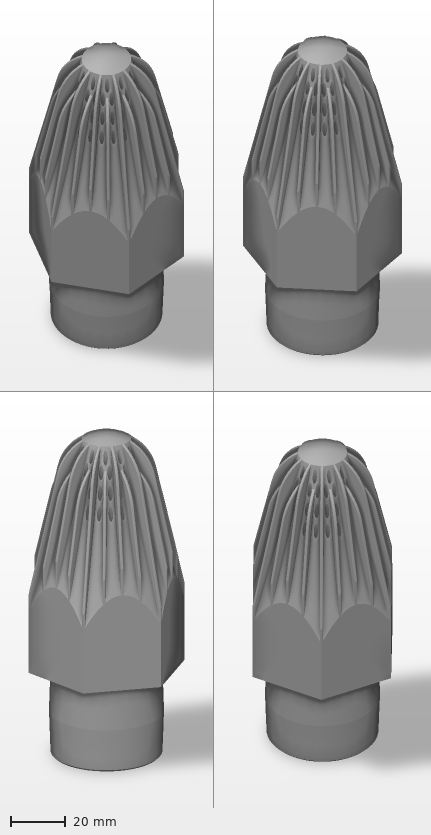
import cadquery as cq
import math

TOTAL_HEIGHT = 125.6

NIPPLE_HEIGHT = 33.7
NIPPLE_MID_HEIGHT = 16.6
NIPPLE_MID_DIAMETER = 42.2
NIPPLE_END_DIAMETER = 41.1
NIPPLE_CHAMFER = 0.8
BORE_DIAMETER = 34.8

HEX_SIDES = 6
HEX_ACROSS_FLATS = 50.7
HEX_ACROSS_CORNERS = HEX_ACROSS_FLATS / math.cos(math.pi / HEX_SIDES)
CORNER_CLEARANCE = 1.3
CHAMBER_TOP = 87.9
DOME_DIAMETER = 38.0
CAP_DIAMETER = 18.1
CORE_HALF_ANGLE = 17.3
FIN_HALF_ANGLE = 13.0

FIN_COUNT = 24
FIN_PITCH = 360 / FIN_COUNT
FIN_THICKNESS = 1.1
FIN_EDGE_RADIUS = 0.31
SHORT_FIN_START = 10.0
SHORT_FIN_SLIDE = 8.4

HOLE_DIAMETER = 1.6
TIP_ROW_RADIUS = 10.3
PAIR_ROW_RADII = (11.9, 14.2, 16.5)

dome_radius = DOME_DIAMETER / 2
dome_center = TOTAL_HEIGHT - dome_radius
cap_radius = CAP_DIAMETER / 2
cap_rim_height = dome_center + math.sqrt(dome_radius**2 - cap_radius**2)
outer_radius = HEX_ACROSS_CORNERS / 2 + CORNER_CLEARANCE


def make_hexagon():
    """Hexagonal prism that bounds the whole nozzle."""
    return (
        cq.Workplane("XY", origin=(0, 0, NIPPLE_HEIGHT))
        .polygon(HEX_SIDES, HEX_ACROSS_CORNERS)
        .extrude(TOTAL_HEIGHT - NIPPLE_HEIGHT)
    )


def make_core():
    """Nose without its fins: a spherical cap on a cone that runs past the hexagon corners."""
    cap_middle_angle = math.asin(cap_radius / dome_radius) / 2
    cap_middle = (
        dome_radius * math.sin(cap_middle_angle),
        dome_center + dome_radius * math.cos(cap_middle_angle),
    )
    cone_drop = (outer_radius - cap_radius) / math.tan(math.radians(CORE_HALF_ANGLE))
    return (
        cq.Workplane("XZ")
        .moveTo(0, NIPPLE_HEIGHT)
        .lineTo(outer_radius, NIPPLE_HEIGHT)
        .lineTo(outer_radius, cap_rim_height - cone_drop)
        .lineTo(cap_radius, cap_rim_height)
        .threePointArc(cap_middle, (0, TOTAL_HEIGHT))
        .close()
        .revolve(360, (0, 0, 0), (0, 1, 0))
    )


def make_fin(angle, start_radius, slide):
    """Radial plate at an angle, its arched tip slid down the slope of its outer edge.

    It is built along +X, trimmed to the hexagon, rounded along its outer edges and turned in place.
    """
    slope = math.radians(FIN_HALF_ANGLE)
    center_x = slide * math.sin(slope)
    center_z = dome_center - slide * math.cos(slope)

    start_angle = math.acos((start_radius - center_x) / dome_radius)
    middle_angle = (start_angle + slope) / 2

    def tip_point(elevation):
        x = center_x + dome_radius * math.cos(elevation)
        z = center_z + dome_radius * math.sin(elevation)
        return x, z

    tangent_x, tangent_z = tip_point(slope)
    edge_drop = (outer_radius - tangent_x) / math.tan(slope)
    plate = (
        cq.Workplane("XZ")
        .moveTo(start_radius, NIPPLE_HEIGHT)
        .lineTo(*tip_point(start_angle))
        .threePointArc(tip_point(middle_angle), (tangent_x, tangent_z))
        .lineTo(outer_radius, tangent_z - edge_drop)
        .lineTo(outer_radius, NIPPLE_HEIGHT)
        .close()
        .extrude(FIN_THICKNESS / 2, both=True)
        .intersect(make_hexagon().rotate((0, 0, 0), (0, 0, 1), -angle))
    )
    outer_edges = plate.faces("<Y or >Y").edges("not |X")
    outer_edges = outer_edges.filter(lambda edge: edge.Center().x > start_radius + FIN_THICKNESS)
    rounded = outer_edges.fillet(FIN_EDGE_RADIUS)
    return rounded.rotate((0, 0, 0), (0, 0, 1), angle)


def make_hole_row(radius, first_angle, count):
    """Cutters for one ring of air holes, from the chamber out through the nose."""
    return (
        cq.Workplane("XY", origin=(0, 0, CHAMBER_TOP))
        .polarArray(radius, first_angle, 360, count)
        .circle(HOLE_DIAMETER / 2)
        .extrude(TOTAL_HEIGHT - CHAMBER_TOP)
    )


def make_nozzle():
    """Finned hexagonal nozzle with a chamber that feeds the air holes."""
    nozzle = make_core().intersect(make_hexagon())
    for index in range(FIN_COUNT):
        angle = index * FIN_PITCH
        if index % 2 == 0:
            fin = make_fin(angle, cap_radius, 0)
        else:
            fin = make_fin(angle, SHORT_FIN_START, SHORT_FIN_SLIDE)
        nozzle = nozzle.union(fin, clean=False)
    nozzle = nozzle.clean()

    chamber = (
        cq.Workplane("XY", origin=(0, 0, NIPPLE_HEIGHT))
        .circle(BORE_DIAMETER / 2)
        .extrude(CHAMBER_TOP - NIPPLE_HEIGHT)
    )
    nozzle = nozzle.cut(chamber)

    nozzle = nozzle.cut(make_hole_row(TIP_ROW_RADIUS, FIN_PITCH, FIN_COUNT // 2))
    for radius in PAIR_ROW_RADII:
        nozzle = nozzle.cut(make_hole_row(radius, FIN_PITCH / 2, FIN_COUNT))
    return nozzle


def make_nipple():
    """Bored pipe, widest at its middle and chamfered at its free end."""
    bore_radius = BORE_DIAMETER / 2
    end_radius = NIPPLE_END_DIAMETER / 2
    profile = [
        (bore_radius, 0),
        (end_radius - NIPPLE_CHAMFER, 0),
        (end_radius, NIPPLE_CHAMFER),
        (NIPPLE_MID_DIAMETER / 2, NIPPLE_MID_HEIGHT),
        (end_radius, NIPPLE_HEIGHT),
        (bore_radius, NIPPLE_HEIGHT),
    ]
    return cq.Workplane("XZ").polyline(profile).close().revolve(360, (0, 0, 0), (0, 1, 0))


nozzle = make_nozzle()
nipple = make_nipple()
result = cq.Compound.makeCompound([nozzle.val(), nipple.val()])